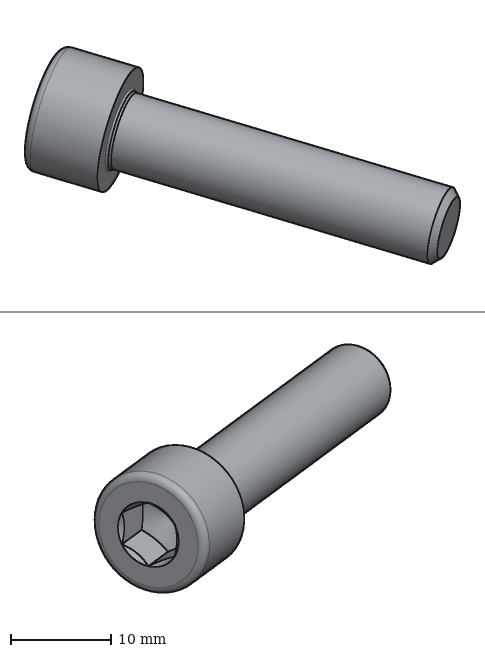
import cadquery as cq
import math

total_length = 43.0
head_diameter = 13.0
head_height = 8.0
shank_diameter = 8.0
head_edge_radius = 0.8
neck_radius = 0.25
neck_taper_height = 0.15
neck_length = 0.5
tip_chamfer = 0.77
hex_flats = 6.0
socket_depth = 4.0
cone_half_angle = 60.0
mouth_half_angle = 45.0

hex_corners = hex_flats / math.cos(math.radians(30))
hex_corner_radius = hex_corners / 2


def axial_cone(base_x, radius, half_angle):
    """Cone on the screw axis, opening at base_x and tapering toward +X."""
    length = radius / math.tan(math.radians(half_angle))
    return (
        cq.Workplane("XY")
        .moveTo(base_x, 0)
        .lineTo(base_x, radius)
        .lineTo(base_x + length, 0)
        .close()
        .revolve(360, (0, 0, 0), (1, 0, 0))
    )


def screw_body():
    """Revolved head and shank, with rounded head edge, filleted and tapered neck, and chamfered tip."""
    head_radius = head_diameter / 2
    shank_radius = shank_diameter / 2
    taper_start_radius = shank_radius + neck_taper_height
    return (
        cq.Workplane("XY")
        .lineTo(0, head_radius - head_edge_radius)
        .radiusArc((head_edge_radius, head_radius), head_edge_radius)
        .lineTo(head_height, head_radius)
        .lineTo(head_height, taper_start_radius + neck_radius)
        .radiusArc((head_height + neck_radius, taper_start_radius), -neck_radius)
        .lineTo(head_height + neck_length, shank_radius)
        .lineTo(total_length - tip_chamfer, shank_radius)
        .lineTo(total_length, shank_radius - tip_chamfer)
        .lineTo(total_length, 0)
        .close()
        .revolve(360, (0, 0, 0), (1, 0, 0))
    )


def hex_socket():
    """Hexagonal recess with corners on Z, a conical floor and a countersunk mouth."""
    hexagon = (
        cq.Workplane("YZ")
        .transformed(rotate=(0, 0, 90))
        .polygon(6, hex_corners)
        .extrude(head_height)
    )
    pointed_bore = (
        cq.Workplane("YZ")
        .circle(hex_corner_radius)
        .extrude(socket_depth)
        .union(axial_cone(socket_depth, hex_corner_radius, cone_half_angle))
    )
    mouth = axial_cone(0, hex_corner_radius, mouth_half_angle)
    return hexagon.intersect(pointed_bore).union(mouth)


result = screw_body().cut(hex_socket())